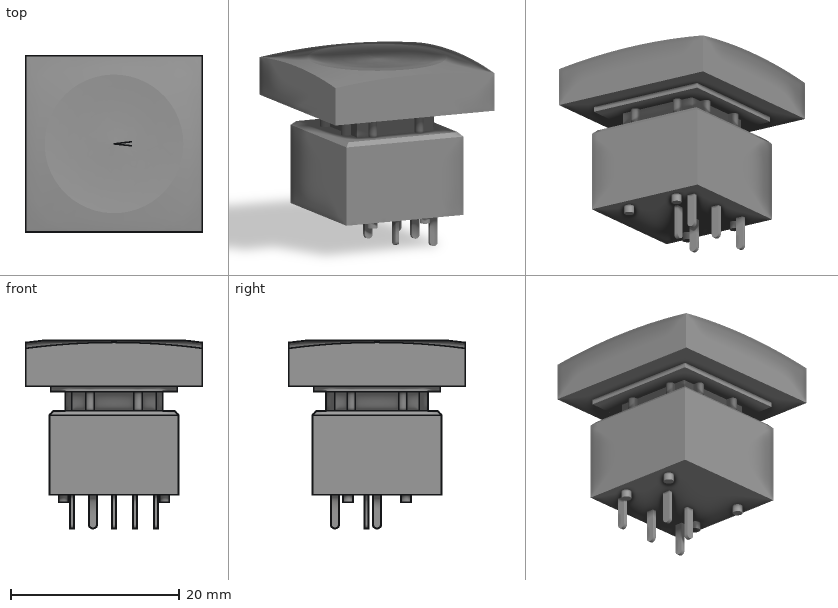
import cadquery as cq
import math

housing_side = 15.4
housing_height = 10.0
housing_chamfer = 0.5

neck_side = 10.1
neck_rib_width = 1.0
rib_spacing_x = 5.75
rib_spacing_y = 6.12
rib_span_x = 11.6
rib_span_y = 12.15

collar_side = 15.05
collar_bottom = 12.3

cap_side = 21.0
cap_bottom = 12.9
cap_rim_top = 18.4
crown_radius = 80.0
dish_diameter = 16.5
dish_arc_radius = 70.0
dish_trough_radius = 3.0

peg_diameter = 1.2
peg_length = 0.9
peg_spacing_x = 12.0
peg_spacing_y = 6.9

pin_length = 4.0
pin_width = 1.0
pin_thickness = 0.5
pin_pitch = 5.0
half_pitch = pin_pitch / 2
front_row_y = -pin_pitch
cross_pin_y = -pin_pitch / 4

embed = 0.5


def square_block(side, bottom, top):
    return cq.Workplane("XY").workplane(offset=bottom).rect(side, side).extrude(top - bottom)


def make_housing():
    return square_block(housing_side, 0, housing_height).faces(">Z").chamfer(housing_chamfer)


def make_neck():
    """Square column with two round-nosed ribs on each side face."""
    neck = square_block(neck_side, housing_height, collar_bottom)
    base = cq.Workplane("XY").workplane(offset=housing_height)
    height = collar_bottom - housing_height
    for side in (-1, 1):
        ribs_along_x = (
            base.center(0, side * rib_spacing_y / 2)
            .slot2D(rib_span_x, neck_rib_width)
            .extrude(height)
        )
        ribs_along_y = (
            base.center(side * rib_spacing_x / 2, 0)
            .slot2D(rib_span_y, neck_rib_width, 90)
            .extrude(height)
        )
        neck = neck.union(ribs_along_x).union(ribs_along_y)
    return neck


def make_cap():
    """Square block under a spherical crown, with a shallow revolved dish in the middle."""
    dish_edge = dish_diameter / 2
    crown_center = cap_rim_top - math.sqrt(crown_radius**2 - dish_edge**2)
    crown_apex = crown_center + crown_radius
    crown = cq.Workplane("XY").sphere(crown_radius).translate((0, 0, crown_center))
    cap = square_block(cap_side, cap_bottom, crown_apex).intersect(crown)

    arc_center = cap_rim_top + math.sqrt(dish_arc_radius**2 - (dish_edge - dish_trough_radius) ** 2)
    trough_level = arc_center - dish_arc_radius
    middle_level = arc_center - math.sqrt(dish_arc_radius**2 - dish_trough_radius**2)
    dish = (
        cq.Workplane("XZ")
        .moveTo(0, middle_level)
        .threePointArc((dish_trough_radius, trough_level), (dish_edge, cap_rim_top))
        .lineTo(dish_edge, crown_apex + embed)
        .lineTo(0, crown_apex + embed)
        .close()
        .revolve(360, (0, 0, 0), (0, 1, 0))
    )
    return cap.cut(dish)


def make_pegs():
    return (
        cq.Workplane("XY")
        .workplane(offset=-peg_length)
        .rect(peg_spacing_x, peg_spacing_y, forConstruction=True)
        .vertices()
        .circle(peg_diameter / 2)
        .extrude(peg_length + embed)
    )


def make_pin(x, y, angle):
    """Terminal whose width lies along X at angle 0 and along Y at angle 90."""
    half_width = pin_width / 2
    shoulder = half_width - pin_length
    return (
        cq.Workplane("XZ")
        .moveTo(-half_width, embed)
        .lineTo(-half_width, shoulder)
        .threePointArc((0, -pin_length), (half_width, shoulder))
        .lineTo(half_width, embed)
        .close()
        .extrude(pin_thickness / 2, both=True)
        .rotate((0, 0, 0), (0, 0, 1), angle)
        .translate((x, y, 0))
    )


collar = square_block(collar_side, collar_bottom, cap_bottom)
result = make_housing().union(make_neck()).union(collar).union(make_cap()).union(make_pegs())
for column in (-1, 0, 1):
    result = result.union(make_pin(column * pin_pitch, front_row_y, 90))
result = result.union(make_pin(-half_pitch, cross_pin_y, 0))
result = result.union(make_pin(half_pitch, 0, 90))